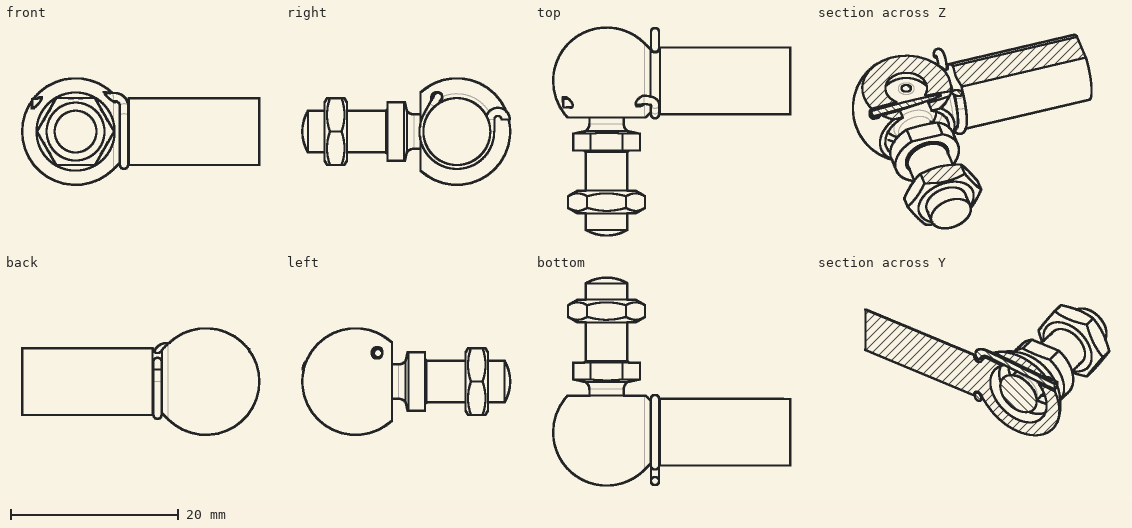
import cadquery as cq
import math


TOTAL_LENGTH = 28.35
HEAD_RADIUS = 12.8 / 2
SHANK_RADIUS = 8.0 / 2
SHANK_END = TOTAL_LENGTH - HEAD_RADIUS
CONE_END = 5.27
SOCKET_FACE = -4.37
SOCKET_RADIUS = 8.0 / 2
SOCKET_EDGE = -1.73

BALL_RADIUS = 3.63
NECK_RADIUS = 4.15 / 2
NECK_START = -3.43
NECK_ROOT_RADIUS = 2.4
STUD_RADIUS = 5.0 / 2
COLLAR_RADIUS = 8.0 / 2
COLLAR_FLATS = 7.0
NECK_FLARE_RADIUS = 1.02
NECK_FLARE_ANGLE = 55.0
NECK_FLARE_START = -5.13
COLLAR_RIM = -6.3
COLLAR_END = -8.3
ROOT_FLARE = 0.17
DOME_START = -17.78
STUD_TIP = HEAD_RADIUS - 24.85

NUT_FLATS = 8.0
NUT_FACE_RADIUS = 6.92 / 2
NUT_START = -13.1
NUT_THICKNESS = 2.72
NUT_CHAMFER_ANGLE = 30.0

WIRE_RADIUS = 1.0 / 2
RING_RADIUS = 3.97
RING_X = 5.78
GROOVE_RADIUS = 0.57
RING_END_ANGLE = 28.5
LEG_LENGTH = 1.35
BEND_RADIUS = 1.2
BEND_ANGLE = 95.0
ARM_END_X = -5.15
TAIL_RISE = 1.42
TAIL_BEND_RADIUS = 0.94

ARM_HOLE_RADIUS = 1.3 / 2
ARM_HOLE_OFFSET = 0.1
ARM_HOLE_OVERRUN = 2.27


def turned_about_y(profile):
    """Revolve an XY half profile about the Y axis."""
    return profile.close().revolve(360, (0, 0, 0), (0, 1, 0))


ring_end = math.radians(RING_END_ANGLE)
leg_direction = cq.Vector(0, math.sin(ring_end), math.cos(ring_end))
leg_start = cq.Vector(RING_X, -RING_RADIUS * math.cos(ring_end), RING_RADIUS * math.sin(ring_end))


def arm_plane_point(x, rise):
    """Point in the tilted plane that holds the leg, the bend and the arm."""
    return cq.Vector(x, leg_start.y, leg_start.z) + leg_direction * rise


def bend_point(angle):
    """Point on the bend after it has turned through the given angle."""
    turn = math.radians(angle)
    return arm_plane_point(
        RING_X - BEND_RADIUS * (1 - math.cos(turn)),
        LEG_LENGTH + BEND_RADIUS * math.sin(turn),
    )


arm_slope = math.tan(math.radians(BEND_ANGLE - 90))
arm_start = bend_point(BEND_ANGLE)
arm_end = arm_start - leg_direction * (arm_slope * (arm_start.x - ARM_END_X))
arm_end = cq.Vector(ARM_END_X, arm_end.y, arm_end.z)


def make_clip():
    tail_side = RING_RADIUS + 2 * TAIL_BEND_RADIUS
    tail_middle = RING_RADIUS + TAIL_BEND_RADIUS
    ring_top = cq.Vector(RING_X, RING_RADIUS, 0)
    tail_start = cq.Vector(RING_X, RING_RADIUS, TAIL_RISE)
    path = cq.Wire.assembleEdges([
        cq.Edge.makeLine(arm_end, arm_start),
        cq.Edge.makeThreePointArc(arm_start, bend_point(BEND_ANGLE / 2), bend_point(0)),
        cq.Edge.makeLine(bend_point(0), leg_start),
        cq.Edge.makeThreePointArc(leg_start, cq.Vector(RING_X, 0, -RING_RADIUS), ring_top),
        cq.Edge.makeLine(ring_top, tail_start),
        cq.Edge.makeThreePointArc(
            tail_start,
            cq.Vector(RING_X, tail_middle, TAIL_RISE + TAIL_BEND_RADIUS),
            cq.Vector(RING_X, tail_side, TAIL_RISE),
        ),
    ])
    section = cq.Workplane(cq.Plane(arm_end, normal=arm_start - arm_end)).circle(WIRE_RADIUS)
    return section.sweep(cq.Workplane(path))


def make_arm_hole():
    hole_end = arm_end + cq.Vector(0, ARM_HOLE_OFFSET, 0)
    bend_side = arm_start - cq.Vector(0, ARM_HOLE_OFFSET, 0)
    direction = (bend_side - hole_end).normalized()
    start = hole_end - direction * ARM_HOLE_OVERRUN
    length = (bend_side - start).Length + ARM_HOLE_OVERRUN
    return cq.Workplane(cq.Solid.makeCylinder(ARM_HOLE_RADIUS, length, start, direction))


def make_housing():
    tangent_point = HEAD_RADIUS / math.sqrt(2)
    cone_end_radius = 2 * tangent_point - CONE_END
    body = (
        cq.Workplane()
        .moveTo(-HEAD_RADIUS, 0)
        .threePointArc((0, HEAD_RADIUS), (tangent_point, tangent_point))
        .lineTo(CONE_END, cone_end_radius)
        .lineTo(RING_X, cone_end_radius)
        .lineTo(RING_X, SHANK_RADIUS)
        .lineTo(SHANK_END, SHANK_RADIUS)
        .lineTo(SHANK_END, 0)
        .close()
        .revolve(360, (0, 0, 0), (1, 0, 0))
    )
    groove = cq.Workplane(
        cq.Solid.makeTorus(RING_RADIUS, GROOVE_RADIUS, cq.Vector(RING_X, 0, 0), cq.Vector(1, 0, 0))
    )
    beyond_face = (
        cq.Workplane("XZ", origin=(0, SOCKET_FACE, 0)).circle(HEAD_RADIUS).extrude(HEAD_RADIUS)
    )
    entry = cq.Workplane("XZ").circle(SOCKET_RADIUS).extrude(-SOCKET_FACE)
    cavity = cq.Workplane().sphere(math.hypot(SOCKET_RADIUS, SOCKET_EDGE))
    return body.cut(groove).cut(beyond_face).cut(entry).cut(cavity).cut(make_arm_hole())


def make_stud():
    ball_end = -math.sqrt(BALL_RADIUS**2 - NECK_ROOT_RADIUS**2)
    root_width = NECK_ROOT_RADIUS - NECK_RADIUS
    root_height = ball_end - NECK_START
    root_arc_radius = (root_width**2 + root_height**2) / (2 * root_width)
    root_half_turn = math.asin(root_height / root_arc_radius) / 2
    root_middle = (
        NECK_RADIUS + root_arc_radius * (1 - math.cos(root_half_turn)),
        NECK_START + root_arc_radius * math.sin(root_half_turn),
    )
    flare_turn = math.radians(NECK_FLARE_ANGLE)

    def flare_point(turn):
        return (
            NECK_RADIUS + NECK_FLARE_RADIUS * (1 - math.cos(turn)),
            NECK_FLARE_START - NECK_FLARE_RADIUS * math.sin(turn),
        )

    profile = (
        cq.Workplane()
        .moveTo(0, BALL_RADIUS)
        .threePointArc((BALL_RADIUS, 0), (NECK_ROOT_RADIUS, ball_end))
        .threePointArc(root_middle, (NECK_RADIUS, NECK_START))
        .lineTo(NECK_RADIUS, NECK_FLARE_START)
        .threePointArc(flare_point(flare_turn / 2), flare_point(flare_turn))
        .lineTo(COLLAR_RADIUS, COLLAR_RIM)
        .lineTo(COLLAR_RADIUS, COLLAR_END)
        .lineTo(STUD_RADIUS + ROOT_FLARE, COLLAR_END)
        .lineTo(STUD_RADIUS, COLLAR_END - ROOT_FLARE)
        .lineTo(STUD_RADIUS, DOME_START)
    )
    dome_height = DOME_START - STUD_TIP
    dome_radius = (STUD_RADIUS**2 + dome_height**2) / (2 * dome_height)
    dome_turn = math.asin(STUD_RADIUS / dome_radius) / 2
    dome_middle = (
        dome_radius * math.sin(dome_turn),
        STUD_TIP + dome_radius * (1 - math.cos(dome_turn)),
    )
    stud = turned_about_y(profile.threePointArc(dome_middle, (0, STUD_TIP)))
    flats = cq.Workplane().box(2 * HEAD_RADIUS, -2 * STUD_TIP, COLLAR_FLATS)
    ball = cq.Workplane().sphere(BALL_RADIUS)
    return stud.intersect(flats.union(ball))


def make_nut():
    corner_radius = NUT_FLATS / math.sqrt(3)
    nut_end = NUT_START - NUT_THICKNESS
    chamfer = (corner_radius - NUT_FACE_RADIUS) * math.tan(math.radians(NUT_CHAMFER_ANGLE))
    hexagon = (
        cq.Workplane("XZ", origin=(0, NUT_START, 0))
        .polygon(6, 2 * corner_radius)
        .circle(STUD_RADIUS)
        .extrude(NUT_THICKNESS)
    )
    chamfered_blank = turned_about_y(
        cq.Workplane()
        .moveTo(0, NUT_START)
        .lineTo(NUT_FACE_RADIUS, NUT_START)
        .lineTo(corner_radius, NUT_START - chamfer)
        .lineTo(corner_radius, nut_end + chamfer)
        .lineTo(NUT_FACE_RADIUS, nut_end)
        .lineTo(0, nut_end)
    )
    return hexagon.intersect(chamfered_blank)


housing = make_housing()
stud = make_stud()
nut = make_nut()
clip = make_clip()
result = cq.Compound.makeCompound([housing.val(), stud.val(), nut.val(), clip.val()])